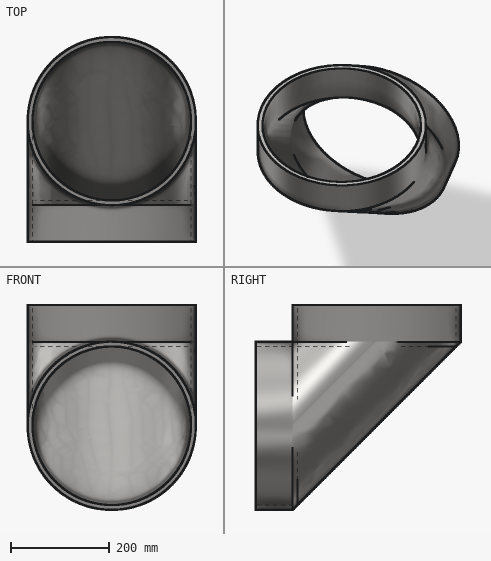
import cadquery as cq
import math

outer_diameter = 343.0
wall = 10.0
overall_length = 418.0
collar_overlap = 0.5

bore_overrun = wall
outer_radius = outer_diameter / 2
inner_radius = outer_radius - wall
collar_length = overall_length - outer_diameter
tool_length = 4 * outer_diameter



def upright_cylinder(radius, depth):
    """Round bar along Z, from `depth` below the upright collar to its mouth."""
    return (
        cq.Workplane("XY", origin=(0, outer_radius, -depth))
        .circle(radius)
        .extrude(collar_length + depth)
    )


def level_cylinder(radius, depth):
    """Round bar along Y, from `depth` behind the level collar to its mouth."""
    return (
        cq.Workplane("XZ", origin=(0, depth, -outer_radius))
        .circle(radius)
        .extrude(collar_length + depth)
    )


def slanted_cylinder(radius, setback):
    """Elliptic bar at 45 degrees, cut to circles at Z = -setback and Y = setback."""
    start = (0, outer_radius - tool_length / 2, -setback - tool_length / 2)
    tube_plane = cq.Plane(origin=start, xDir=(1, 0, 0), normal=(0, 1, 1))
    bar = (
        cq.Workplane(tube_plane)
        .ellipse(radius, radius / math.sqrt(2))
        .extrude(tool_length)
    )
    quadrant = (
        cq.Workplane("XY", origin=(0, setback, -setback - tool_length))
        .box(tool_length, tool_length, tool_length, centered=(True, False, False))
    )
    return bar.intersect(quadrant)


def elbow(radius, setback):
    """Solid elbow: slanted bar with a round bar at each end."""
    slanted = slanted_cylinder(radius, setback)
    return slanted.union(upright_cylinder(radius, setback)).union(level_cylinder(radius, setback))


body = elbow(outer_radius, collar_overlap)
result = (
    body.cut(slanted_cylinder(inner_radius, bore_overrun))
    .cut(upright_cylinder(inner_radius, bore_overrun))
    .cut(level_cylinder(inner_radius, bore_overrun))
)